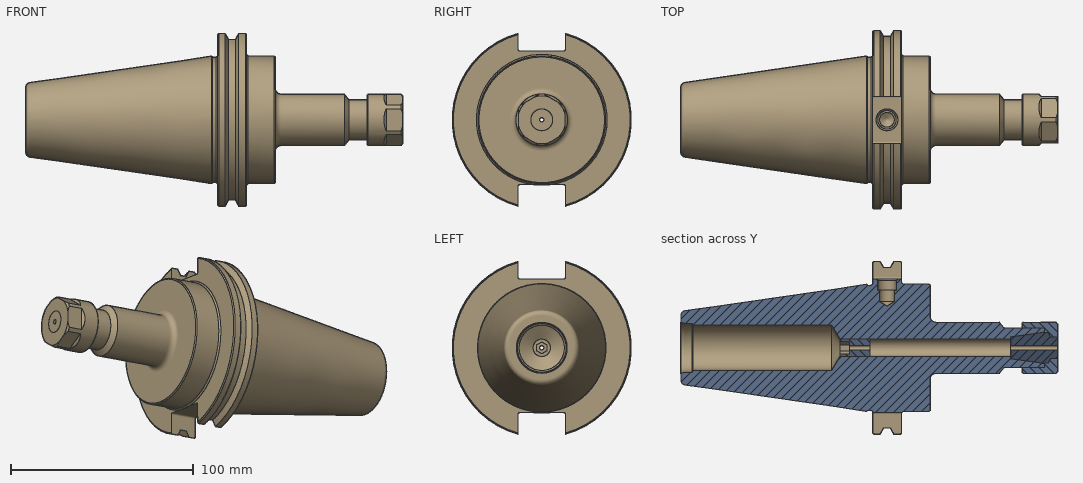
import cadquery as cq
import math

LENGTH = 206.2
SMALL_CHAMFER = 0.6

TAPER_LENGTH = 101.7
GAUGE_R = 70.0 / 2
TAPER_RATIO = 7 / 24
SMALL_END_R = GAUGE_R - TAPER_LENGTH * TAPER_RATIO / 2
SMALL_END_FILLET = 2.9

RELIEF_R = 68.7 / 2
FLANGE_START = 105.0
ROOT_CHAMFER = 0.8
FLANGE_END = 120.9
FLANGE_R = 98.0 / 2
GROOVE_X = 112.8
GROOVE_FLOOR_R = 91.5 / 2
GROOVE_FLOOR_WIDTH = 3.7
GROOVE_SIDE_ANGLE = 30.0
GROOVE_DEPTH = FLANGE_R - GROOVE_FLOOR_R
GROOVE_MOUTH_WIDTH = GROOVE_FLOOR_WIDTH + 2 * GROOVE_DEPTH * math.tan(math.radians(GROOVE_SIDE_ANGLE))

SLOT_WIDTH = 25.8
SLOT_FILLET = 0.8
UPPER_SLOT_Z = 37.7
LOWER_SLOT_Z = 35.5

HOLE_MOUTH_D = 12.0
HOLE_SEAT_D = 10.1
HOLE_SEAT_DEPTH = 6.2
HOLE_D = 8.0
HOLE_DEPTH = 12.4
DRILL_ANGLE = 118.0
DRILL_HALF_TAN = math.tan(math.radians(DRILL_ANGLE / 2))

BODY_R = GAUGE_R
BODY_END = 136.5
SHANK_R = 28.3 / 2
SHANK_FILLET = 3.0
SHANK_END = 174.3
NECK_R = 22.0 / 2
NECK_START = 176.8
NOSE = 199.0

BORE_MOUTH_R = 27.8 / 2
COUNTERBORE_R = 26.6 / 2
MOUTH_CHAMFER_LENGTH = 2.0
COUNTERBORE_DEPTH = 6.2
BORE_R = 24.8 / 2
BORE_DEPTH = 82.5
THREAD_R = 9.5 / 2
BORE_CONE_END = BORE_DEPTH + (BORE_R - THREAD_R) / DRILL_HALF_TAN

SCREW_LENGTH = 16.5
SOCKET_FLATS = 5.5
SOCKET_DEPTH = 5.2
COOLANT_R = 2.3 / 2

COLLET_R = 17.0 / 2
COLLET_BACK = 180.5
COLLET_TAPER_ANGLE = 8.0
COLLET_BACK_R = COLLET_R - (NOSE - COLLET_BACK) * math.tan(math.radians(COLLET_TAPER_ANGLE))
COLLET_SHOULDER = 201.0
COLLET_FACE_R = 12.0 / 2
COLLET_CONE_ANGLE = 60.0
COLLET_CONE_END = COLLET_SHOULDER + (COLLET_R - COLLET_FACE_R) / math.tan(math.radians(COLLET_CONE_ANGLE))

NUT_START = 186.7
NUT_R = SHANK_R
NUT_FLATS = 25.5
NUT_FLAT_COUNT = 6
FLATS_START = 197.2
NUT_FACE_CHAMFER = 1.0


def revolve(points):
    """Turn a closed outline of (x, radius) points about the X axis."""
    return cq.Workplane("XY").polyline(points).close().revolve(360, (0, 0, 0), (1, 0, 0))


def holder_blank():
    """Outside of the holder: taper, flange, body, shank and neck."""
    blank = revolve([
        (0, 0),
        (0, SMALL_END_R),
        (TAPER_LENGTH, GAUGE_R),
        (TAPER_LENGTH + SMALL_CHAMFER, RELIEF_R),
        (FLANGE_START - ROOT_CHAMFER, RELIEF_R),
        (FLANGE_START, RELIEF_R + ROOT_CHAMFER),
        (FLANGE_START, FLANGE_R - SMALL_CHAMFER),
        (FLANGE_START + SMALL_CHAMFER, FLANGE_R),
        (GROOVE_X - GROOVE_MOUTH_WIDTH / 2, FLANGE_R),
        (GROOVE_X - GROOVE_FLOOR_WIDTH / 2, GROOVE_FLOOR_R),
        (GROOVE_X + GROOVE_FLOOR_WIDTH / 2, GROOVE_FLOOR_R),
        (GROOVE_X + GROOVE_MOUTH_WIDTH / 2, FLANGE_R),
        (FLANGE_END - SMALL_CHAMFER, FLANGE_R),
        (FLANGE_END, FLANGE_R - SMALL_CHAMFER),
        (FLANGE_END, BODY_R + ROOT_CHAMFER),
        (FLANGE_END + ROOT_CHAMFER, BODY_R),
        (BODY_END - SMALL_CHAMFER, BODY_R),
        (BODY_END, BODY_R - SMALL_CHAMFER),
        (BODY_END, SHANK_R),
        (SHANK_END, SHANK_R),
        (NECK_START, NECK_R),
        (NOSE, NECK_R),
        (NOSE, 0),
    ])
    blank = blank.faces("<X").edges().fillet(SMALL_END_FILLET)
    reach = 0.2
    shank_corner = cq.selectors.BoxSelector(
        (BODY_END - reach, -SHANK_R - reach, -SHANK_R - reach),
        (BODY_END + reach, SHANK_R + reach, SHANK_R + reach),
        boundingbox=True,
    )
    return blank.edges(shank_corner).fillet(SHANK_FILLET)


def holder_bore():
    """Everything removed along the axis: stepped bore, threaded hole and collet seat."""
    return revolve([
        (0, 0),
        (0, BORE_MOUTH_R),
        (MOUTH_CHAMFER_LENGTH, COUNTERBORE_R),
        (COUNTERBORE_DEPTH, COUNTERBORE_R),
        (COUNTERBORE_DEPTH + (COUNTERBORE_R - BORE_R) / DRILL_HALF_TAN, BORE_R),
        (BORE_DEPTH, BORE_R),
        (BORE_CONE_END, THREAD_R),
        (COLLET_BACK, THREAD_R),
        (COLLET_BACK, COLLET_BACK_R),
        (NOSE, COLLET_R),
        (NOSE, 0),
    ])


def drive_slot(floor_z, side):
    """Slot across the flange with filleted floor corners, side = 1 on top and -1 underneath."""
    width_x = FLANGE_END - FLANGE_START
    height = FLANGE_R
    slot = cq.Workplane("XY").box(width_x, SLOT_WIDTH, height)
    slot = slot.faces("<Z" if side > 0 else ">Z").edges("|X").fillet(SLOT_FILLET)
    return slot.translate((FLANGE_START + width_x / 2, 0, side * (floor_z + height / 2)))


def slot_hole():
    """Countersunk, stepped hole with a drill point, going down from the upper slot floor."""
    mouth_depth = (HOLE_MOUTH_D - HOLE_SEAT_D) / 2
    outline = [
        (0, 0),
        (HOLE_MOUTH_D / 2, 0),
        (HOLE_SEAT_D / 2, -mouth_depth),
        (HOLE_SEAT_D / 2, -HOLE_SEAT_DEPTH),
        (HOLE_D / 2, -HOLE_SEAT_DEPTH),
        (HOLE_D / 2, -HOLE_DEPTH),
        (0, -HOLE_DEPTH - HOLE_D / 2 / DRILL_HALF_TAN),
    ]
    hole = cq.Workplane("XZ").polyline(outline).close().revolve(360, (0, 0, 0), (0, 1, 0))
    return hole.translate((GROOVE_X, 0, UPPER_SLOT_Z))


def make_holder():
    """Taper holder with its bore, drive slots and slot hole."""
    return (
        holder_blank()
        .cut(holder_bore())
        .cut(drive_slot(UPPER_SLOT_Z, 1))
        .cut(drive_slot(LOWER_SLOT_Z, -1))
        .cut(slot_hole())
    )


def make_stop_screw():
    """Set screw with a hexagon socket facing the taper end and a coolant hole."""
    screw = cq.Workplane("YZ").circle(THREAD_R).circle(COOLANT_R).extrude(SCREW_LENGTH)
    across_corners = SOCKET_FLATS / math.cos(math.radians(30))
    socket = cq.Workplane("YZ").polygon(6, across_corners).extrude(SOCKET_DEPTH)
    socket = socket.rotate((0, 0, 0), (1, 0, 0), 30)
    return screw.cut(socket).translate((BORE_CONE_END, 0, 0))


def make_collet():
    """Collet with a rear taper, a front cone and a through hole."""
    return revolve([
        (COLLET_BACK, COOLANT_R),
        (COLLET_BACK, COLLET_BACK_R),
        (NOSE, COLLET_R),
        (COLLET_SHOULDER, COLLET_R),
        (COLLET_CONE_END, COLLET_FACE_R),
        (LENGTH, COLLET_FACE_R),
        (LENGTH, COOLANT_R),
    ])


def nut_flat_cutter():
    """Cuts the flat on the -Y side, with a 45 degree run-out at its rear."""
    flat_y = NUT_FLATS / 2
    cap = 2 * (NUT_R - flat_y)
    return (
        cq.Workplane("XY")
        .polyline([
            (FLATS_START, -flat_y),
            (LENGTH, -flat_y),
            (LENGTH, -flat_y - cap),
            (FLATS_START - cap, -flat_y - cap),
        ])
        .close()
        .extrude(NUT_R, both=True)
    )


def make_nut():
    """Round nut with six flats, bored for the neck and for the collet."""
    nut = revolve([
        (NUT_START, NECK_R),
        (NUT_START, NUT_R - SMALL_CHAMFER),
        (NUT_START + SMALL_CHAMFER, NUT_R),
        (LENGTH - NUT_FACE_CHAMFER, NUT_R),
        (LENGTH, NUT_R - NUT_FACE_CHAMFER),
        (LENGTH, COLLET_FACE_R),
        (COLLET_CONE_END, COLLET_FACE_R),
        (COLLET_SHOULDER, COLLET_R),
        (NOSE, COLLET_R),
        (NOSE, NECK_R),
    ])
    for index in range(NUT_FLAT_COUNT):
        turn = 360 / NUT_FLAT_COUNT * index
        nut = nut.cut(nut_flat_cutter().rotate((0, 0, 0), (1, 0, 0), turn))
    return nut


holder = make_holder()
stop_screw = make_stop_screw()
collet = make_collet()
nut = make_nut()

result = cq.Compound.makeCompound([holder.val(), stop_screw.val(), collet.val(), nut.val()])